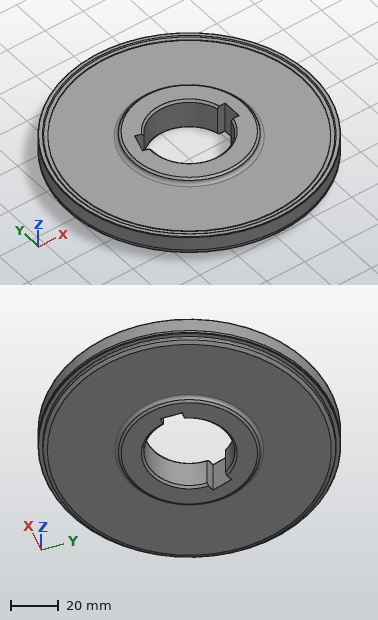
import cadquery as cq

hub_height = 15.9
hub_top_radius = 28.6
hub_wall_radius = 29.7
hub_chamfer_height = 0.8
hub_base_radius = 31.5

bore_radius = 19.0
bore_chamfer = 1.0
keyway_width = 9.7
keyway_reach = 22.5
keyway_angles = (0, 162)

seat_radius = 61.1
rim_top = 5.6
rim_inner_radius = 59.3
recess_depth = 0.4
rim_bottom = -5.7
lower_rim_radius = 123.0 / 2
lower_rim_mid_radius = 61.3
lower_rim_bottom_radius = 59.5
lower_rim_cone_top = -4.0
lower_rim_cone_break = -4.8
shoulder_bottom = -2.9

outer_radius = 127.0 / 2
edge_chamfer_height = 0.4
edge_chamfer_width = 0.3
ring_top = 6.0
ring_bottom = -1.4
ring_mouth_radius = 123.2 / 2
ring_mouth_depth = ring_top - rim_top


def revolved(points):
    """Solid of revolution about Z from (radius, height) points."""
    return cq.Workplane("XZ").polyline(points).close().revolve(360, (0, 0, 0), (0, 1, 0))


def hub_boss(base_height):
    """Boss above the web: a concave flare up to a coned edge at the hub face."""
    face_height = hub_height / 2
    cone_start = face_height - hub_chamfer_height
    flare_width = hub_base_radius - hub_wall_radius
    flare_height = cone_start - base_height
    flare_fraction = 1 - 0.5 ** 0.5
    flare_middle = (
        hub_wall_radius + flare_width * flare_fraction,
        base_height + flare_height * flare_fraction,
    )
    return (
        cq.Workplane("XZ")
        .lineTo(hub_base_radius, 0)
        .lineTo(hub_base_radius, base_height)
        .threePointArc(flare_middle, (hub_wall_radius, cone_start))
        .lineTo(hub_top_radius, face_height)
        .lineTo(0, face_height)
        .close()
        .revolve(360, (0, 0, 0), (0, 1, 0))
    )


def bore_cutter():
    """Through bore, chamfered at both ends."""
    face_height = hub_height / 2
    wide_radius = bore_radius + bore_chamfer
    return revolved([
        (0, -face_height),
        (wide_radius, -face_height),
        (bore_radius, bore_chamfer - face_height),
        (bore_radius, face_height - bore_chamfer),
        (wide_radius, face_height),
        (0, face_height),
    ])


def keyway_cutter(angle):
    """Full-height slot from the axis out to the keyway floor."""
    return (
        cq.Workplane("XY")
        .box(keyway_reach, keyway_width, hub_height, centered=(False, True, True))
        .rotate((0, 0, 0), (0, 0, 1), angle)
    )


def web_and_rim():
    """Recessed web, ring seat, shoulder and coned lower rim."""
    web_top = rim_top - recess_depth
    return revolved([
        (0, rim_bottom),
        (lower_rim_bottom_radius, rim_bottom),
        (lower_rim_mid_radius, lower_rim_cone_break),
        (lower_rim_radius, lower_rim_cone_top),
        (lower_rim_radius, shoulder_bottom),
        (outer_radius - edge_chamfer_width, shoulder_bottom),
        (outer_radius, shoulder_bottom + edge_chamfer_height),
        (outer_radius, ring_bottom),
        (seat_radius, ring_bottom),
        (seat_radius, rim_top),
        (rim_inner_radius, rim_top),
        (rim_inner_radius, web_top),
        (0, web_top),
    ])


def make_wheel():
    upper_boss = hub_boss(rim_top - recess_depth)
    lower_boss = hub_boss(-rim_bottom).mirror("XY")
    wheel = web_and_rim().union(upper_boss).union(lower_boss).cut(bore_cutter())
    for angle in keyway_angles:
        wheel = wheel.cut(keyway_cutter(angle))
    return wheel


def make_ring():
    """Ring seated on the shoulder, with a coned mouth standing above the rim."""
    return revolved([
        (seat_radius, ring_bottom),
        (outer_radius, ring_bottom),
        (outer_radius, ring_top - edge_chamfer_height),
        (outer_radius - edge_chamfer_width, ring_top),
        (ring_mouth_radius, ring_top),
        (seat_radius, ring_top - ring_mouth_depth),
    ])


wheel = make_wheel()
ring = make_ring()
result = cq.Compound.makeCompound([wheel.val(), ring.val()])